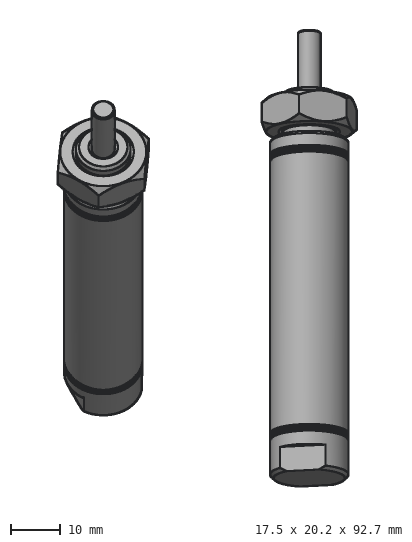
import cadquery as cq
import math

overall_height = 92.7
stud_top = 80.1
nut_top = 78.5
nut_height = 6.5
nut_bottom = nut_top - nut_height
barrel_top = 70.4

barrel_radius = 15.85 / 2
barrel_top_chamfer = 0.65
barrel_base_chamfer = 0.7

groove_pair_heights = (8.5, 66.6)
groove_width = 0.6
groove_depth = 0.3
groove_land = 0.3

flat_spacing = 12.8
flat_height = 5.1

stud_radius = 11.0 / 2
neck_radius = 10.6 / 2
stud_chamfer = 0.65

rod_radius = 4.6 / 2
rod_chamfer = 0.3
rod_base = barrel_top
socket_mouth_radius = 5.9 / 2

nut_across_flats = 17.5
nut_across_corners = nut_across_flats / math.cos(math.pi / 6)
nut_face_radius = 17.3 / 2
nut_chamfer_height = 1.3
nut_mouth_radius = 12.3 / 2


def cylinder(radius, bottom, top):
    return cq.Workplane("XY").workplane(offset=bottom).circle(radius).extrude(top - bottom)


def countersink(mouth_radius, bore_radius, mouth_height, direction):
    """45-degree cone narrowing from its mouth; direction is +1 up or -1 down."""
    depth = mouth_radius - bore_radius
    return cq.Workplane("XY").add(
        cq.Solid.makeCone(
            mouth_radius, bore_radius, depth, cq.Vector(0, 0, mouth_height), cq.Vector(0, 0, direction)
        )
    )


def v_groove(center_height):
    """Ring with a triangular section that cuts one V groove into the barrel."""
    half_width = groove_width / 2
    return (
        cq.Workplane("XZ")
        .moveTo(barrel_radius, center_height - half_width)
        .lineTo(barrel_radius - groove_depth, center_height)
        .lineTo(barrel_radius, center_height + half_width)
        .close()
        .revolve(360, (0, 0, 0), (0, 1, 0))
    )


def make_barrel():
    barrel = cylinder(barrel_radius, 0, barrel_top)
    barrel = barrel.faces(">Z").chamfer(barrel_top_chamfer)
    barrel = barrel.faces("<Z").chamfer(barrel_base_chamfer)

    groove_offset = (groove_land + groove_width) / 2
    for pair_height in groove_pair_heights:
        for side in (-1, 1):
            barrel = barrel.cut(v_groove(pair_height + side * groove_offset))

    flat_cut_depth = barrel_radius - flat_spacing / 2
    flat_cut_center = flat_spacing / 2 + flat_cut_depth / 2
    flat_cuts = (
        cq.Workplane("XY")
        .pushPoints([(0, -flat_cut_center), (0, flat_cut_center)])
        .rect(2 * barrel_radius, flat_cut_depth)
        .extrude(flat_height)
    )
    return barrel.cut(flat_cuts)


def make_housing():
    """Barrel, neck and stud in one piece, with a blind socket for the rod."""
    neck = cylinder(neck_radius, barrel_top, nut_bottom)
    stud = cylinder(stud_radius, nut_bottom, stud_top).faces(">Z").chamfer(stud_chamfer)
    housing = make_barrel().union(neck).union(stud)
    housing = housing.cut(cylinder(rod_radius, rod_base, stud_top))
    return housing.cut(countersink(socket_mouth_radius, rod_radius, stud_top, -1))


def make_rod():
    return cylinder(rod_radius, rod_base, overall_height).faces(">Z").chamfer(rod_chamfer)


def make_nut():
    """Hexagon with flats facing X, conical corners and a countersunk bore."""
    hexagon = (
        cq.Workplane("XY")
        .workplane(offset=nut_bottom)
        .polygon(6, nut_across_corners)
        .extrude(nut_height)
        .rotate((0, 0, 0), (0, 0, 1), 30)
    )
    corner_radius = nut_across_corners / 2
    corner_envelope = cylinder(corner_radius, nut_bottom, nut_top).faces("<Z or >Z").chamfer(
        nut_chamfer_height, corner_radius - nut_face_radius
    )
    nut = hexagon.intersect(corner_envelope)
    nut = nut.cut(cylinder(stud_radius, nut_bottom, nut_top))
    nut = nut.cut(countersink(nut_mouth_radius, stud_radius, nut_bottom, 1))
    return nut.cut(countersink(nut_mouth_radius, stud_radius, nut_top, -1))


housing = make_housing().solids()
rod = make_rod().solids()
nut = make_nut().solids()

result = cq.Compound.makeCompound([housing.val(), rod.val(), nut.val()])